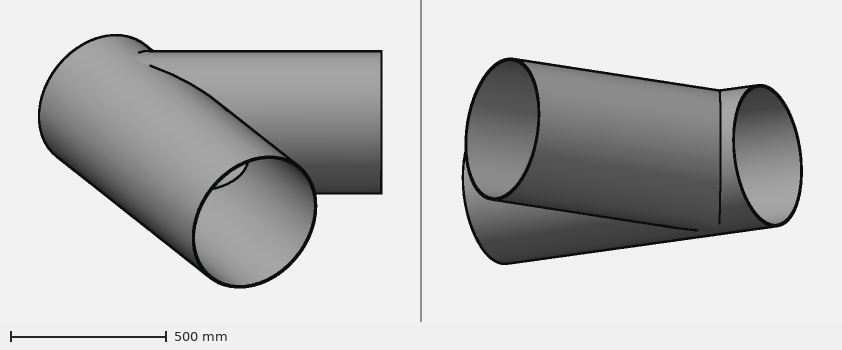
import cadquery as cq

outer_diameter = 457.0
inner_diameter = 448.0
main_length = 990.0
branch_length = 812.0
branch_angle = 60
junction_offset = 178

bore_lead = outer_diameter / 2


def main_cylinder(diameter, lead=0):
    """Cylinder along X past the origin, starting `lead` before the -X end of the pipe."""
    start = cq.Workplane("YZ", origin=(-junction_offset - lead, 0, 0))
    return start.circle(diameter / 2).extrude(main_length + lead)


def branch_cylinder(diameter):
    """Cylinder from the junction outwards, tilted in the XY plane."""
    along_x = cq.Workplane("YZ").circle(diameter / 2).extrude(branch_length)
    return along_x.rotate((0, 0, 0), (0, 0, 1), branch_angle)


outside = main_cylinder(outer_diameter).union(branch_cylinder(outer_diameter))
main_bore = main_cylinder(inner_diameter, bore_lead)
branch_bore = branch_cylinder(inner_diameter)
result = outside.cut(main_bore).cut(branch_bore)